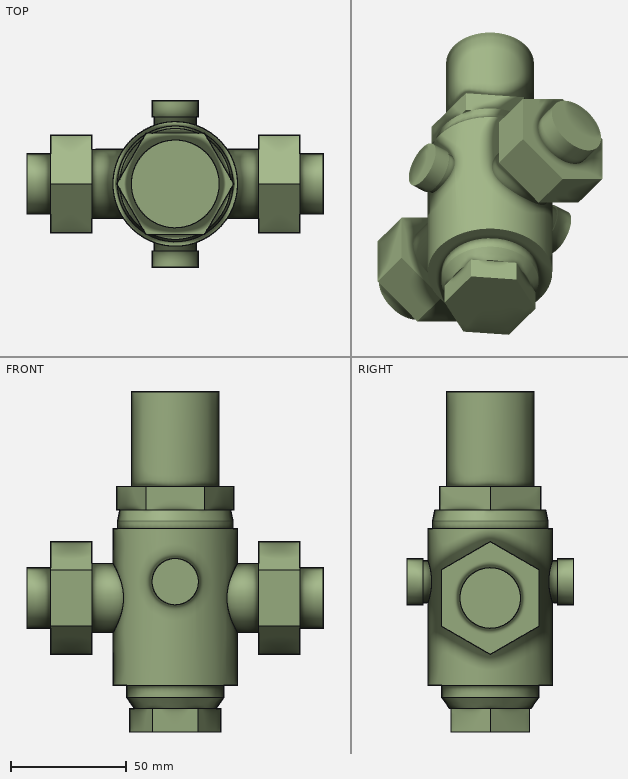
import cadquery as cq
import math

total_height = 147.0
plug_hex_top = 10.1
plug_cone_top = 15.0
body_bottom = 20.1
body_top = 87.9
collar_cone_bottom = 91.1
bonnet_hex_bottom = 96.0
bonnet_hex_top = 106.1
port_height = 57.9
gauge_height = 65.0

body_radius = 26.9
plug_radius = 21.0
plug_hex_flats = 34.1
plug_cone_radius = 17.6
collar_radius = 25.0
collar_top_radius = 24.0
bonnet_hex_flats = 43.8
cap_radius = 19.0

overall_length = 128.0
port_radius = 15.0
nut_inner = 36.0
nut_outer = 53.8
nut_flats = 42.2
tail_radius = 13.1

overall_width = 72.0
gauge_head_inner = 29.0
gauge_head_radius = 10.0
gauge_neck_radius = 9.1


def hex_corners(flats):
    """Distance across corners of a hexagon from its distance across flats."""
    return flats / math.cos(math.pi / 6)


def vertical_hex(flats, bottom, top):
    """Hexagonal prism on the vertical axis, with two corners on X."""
    return cq.Workplane("XY", origin=(0, 0, bottom)).polygon(6, hex_corners(flats)).extrude(top - bottom)


def turned_stack():
    """Plug, body, collar and cap turned about the vertical axis."""
    profile = [
        (0, plug_hex_top),
        (plug_cone_radius, plug_hex_top),
        (plug_radius, plug_cone_top),
        (plug_radius, body_bottom),
        (body_radius, body_bottom),
        (body_radius, body_top),
        (collar_radius, body_top),
        (collar_radius, collar_cone_bottom),
        (collar_top_radius, bonnet_hex_bottom),
        (cap_radius, bonnet_hex_bottom),
        (cap_radius, total_height),
        (0, total_height),
    ]
    return cq.Workplane("XZ").polyline(profile).close().revolve(360, (0, 0, 0), (0, 1, 0))


def side_port():
    """Port pipe, union nut and tail pointing along +X; nut corners point up and down."""
    base = cq.Workplane("YZ", origin=(0, 0, port_height))
    pipe = base.circle(port_radius).extrude(nut_outer)
    tail = base.workplane(offset=nut_inner).circle(tail_radius).extrude(overall_length / 2 - nut_inner)
    nut = (
        base.workplane(offset=nut_inner)
        .transformed(rotate=(0, 0, 90))
        .polygon(6, hex_corners(nut_flats))
        .extrude(nut_outer - nut_inner)
    )
    return pipe.union(nut).union(tail)


def gauge_boss():
    """Gauge connection with a narrower neck, pointing along -Y."""
    base = cq.Workplane("XZ", origin=(0, 0, gauge_height))
    neck = base.circle(gauge_neck_radius).extrude(gauge_head_inner)
    head = (
        base.workplane(offset=gauge_head_inner)
        .circle(gauge_head_radius)
        .extrude(overall_width / 2 - gauge_head_inner)
    )
    return neck.union(head)


result = turned_stack()
result = result.union(vertical_hex(plug_hex_flats, 0, plug_hex_top))
result = result.union(vertical_hex(bonnet_hex_flats, bonnet_hex_bottom, bonnet_hex_top))
for angle in (0, 180):
    result = result.union(side_port().rotate((0, 0, 0), (0, 0, 1), angle))
    result = result.union(gauge_boss().rotate((0, 0, 0), (0, 0, 1), angle))